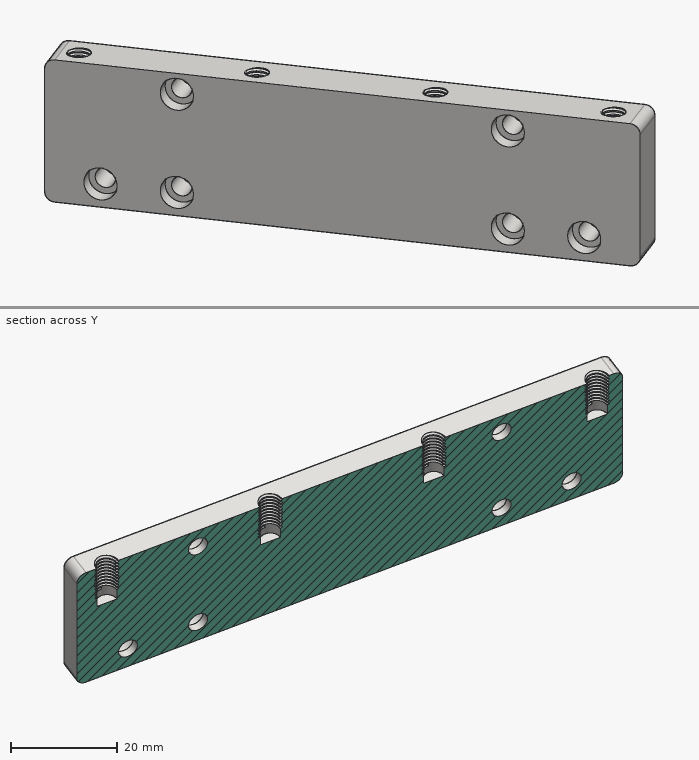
import cadquery as cq
import math

LENGTH = 117.0
THICKNESS = 10.0
HEIGHT = 29.0
CORNER_RADIUS = 2.0
FRONT_Y = -THICKNESS / 2
TOP_Z = HEIGHT / 2

SCREW_DIAMETER = 4.0
COUNTERBORE_DIAMETER = 6.5
COUNTERBORE_DEPTH = 3.3
INNER_HOLE_X = 32.5
OUTER_HOLE_X = 47.5
LOWER_HOLE_INSET = 4.75
HOLE_ROW_SPACING = 20.0
LOWER_HOLE_Z = -HEIGHT / 2 + LOWER_HOLE_INSET
UPPER_HOLE_Z = LOWER_HOLE_Z + HOLE_ROW_SPACING

THREAD_COUNT = 4
THREAD_SPACING = 35.0
FIRST_THREAD_INSET = 5.5
FIRST_THREAD_X = -LENGTH / 2 + FIRST_THREAD_INSET
THREAD_MINOR_DIAMETER = 4.23
THREAD_MAJOR_DIAMETER = 5.12
THREAD_PITCH = 0.8
THREADED_HOLE_DEPTH = 10.0
THREAD_LENGTH = 8.0
THREAD_FLANK_ANGLE = 30.0
THREAD_ROOT_WIDTH = THREAD_PITCH / 32
THREAD_OVERLAP = 0.1
THREAD_START_ANGLE = -90.0


def make_plate():
    plate = cq.Workplane("XY").box(LENGTH, THICKNESS, HEIGHT)
    return plate.edges("|Y").fillet(CORNER_RADIUS)


def cut_mounting_holes(body):
    lower_points = [(x, LOWER_HOLE_Z) for x in (-OUTER_HOLE_X, -INNER_HOLE_X, INNER_HOLE_X, OUTER_HOLE_X)]
    upper_points = [(x, UPPER_HOLE_Z) for x in (-INNER_HOLE_X, INNER_HOLE_X)]
    holes = cq.Workplane("XZ", origin=(0, FRONT_Y, 0)).pushPoints(lower_points + upper_points)
    through_holes = holes.circle(SCREW_DIAMETER / 2).extrude(-THICKNESS)
    counterbores = holes.circle(COUNTERBORE_DIAMETER / 2).extrude(-COUNTERBORE_DEPTH)
    return body.cut(through_holes).cut(counterbores)


def make_thread_groove():
    """Helical groove about the Z axis, running from -THREAD_LENGTH to one pitch above Z = 0."""
    inner_radius = THREAD_MINOR_DIAMETER / 2 - THREAD_OVERLAP
    outer_radius = THREAD_MAJOR_DIAMETER / 2
    outer_half = THREAD_ROOT_WIDTH / 2
    inner_half = outer_half + (outer_radius - inner_radius) * math.tan(math.radians(THREAD_FLANK_ANGLE))
    profile = [
        (inner_radius, -inner_half),
        (outer_radius, -outer_half),
        (outer_radius, outer_half),
        (inner_radius, inner_half),
    ]
    groove_length = THREAD_LENGTH + THREAD_PITCH
    edges = [
        cq.Wire.makeHelix(THREAD_PITCH, groove_length, radius, center=cq.Vector(0, 0, height - THREAD_LENGTH))
        for radius, height in profile
    ]
    faces = [cq.Face.makeRuledSurface(edges[index - 1], edges[index]) for index in range(len(edges))]
    for ends in ([edge.startPoint() for edge in edges], [edge.endPoint() for edge in edges]):
        faces.append(cq.Face.makeFromWires(cq.Wire.makePolygon(ends, close=True)))
    groove = cq.Workplane(cq.Solid.makeSolid(cq.Shell.makeShell(faces)))
    return groove.rotate((0, 0, 0), (0, 0, 1), THREAD_START_ANGLE)


def cut_threaded_holes(body):
    bore = cq.Workplane("XY").circle(THREAD_MINOR_DIAMETER / 2).extrude(-THREADED_HOLE_DEPTH)
    groove = make_thread_groove()
    for index in range(THREAD_COUNT):
        position = (FIRST_THREAD_X + index * THREAD_SPACING, 0, TOP_Z)
        body = body.cut(bore.translate(position)).cut(groove.translate(position))
    return body


result = cut_threaded_holes(cut_mounting_holes(make_plate()))